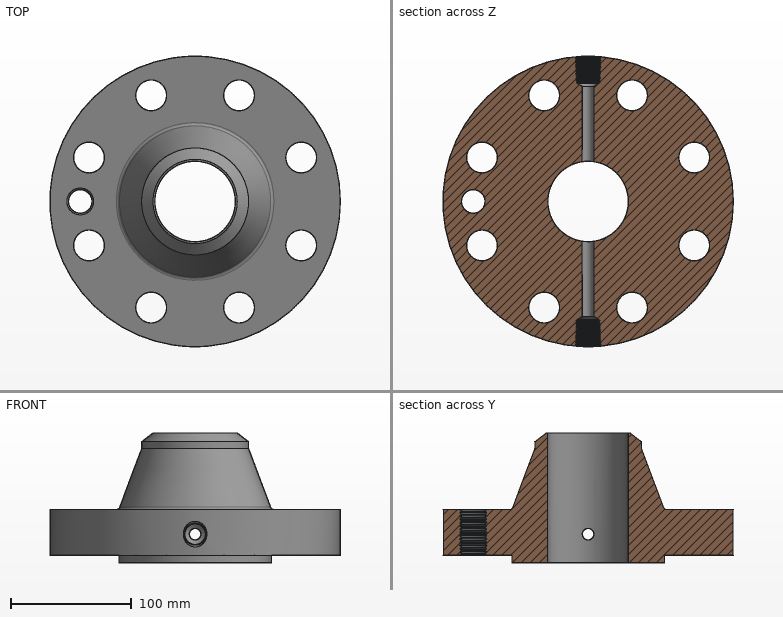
import cadquery as cq
import math


flange_radius = 120.6
flange_thickness = 38.1
raised_face_radius = 63.5
raised_face_height = 6.3
total_height = 107.9
flange_top = raised_face_height + flange_thickness

hub_base_radius = 63.5
hub_fillet_radius = 3.0
weld_end_radius = 44.5
weld_end_length = 12.8
weld_land_radius = 35.0
weld_bevel_angle = 37.5
weld_bevel_height = (weld_end_radius - weld_land_radius) * math.tan(math.radians(weld_bevel_angle))
bore_diameter = 66.5

bolt_count = 8
bolt_hole_diameter = 25.3
bolt_circle_radius = 95.3

jack_mouth_radius = 11.0
jack_thread_depth = 1.5
jack_thread_count = 14
jack_thread_pitch = flange_thickness / jack_thread_count

tap_height = 24.0
tap_mouth_radius = 10.5
tap_thread_depth = 1.5
tap_thread_count = 13
tap_thread_pitch = 1.8
tap_taper = 1 / 32
tap_drill_point_angle = 118.0
tap_drill_diameter = 9.5

crest_share = 0.2


def flange_body():
    """Disc, raised face and hub turned as one profile, with the hub root blended and the bore cut."""
    profile = [
        (0, 0),
        (raised_face_radius, 0),
        (raised_face_radius, raised_face_height),
        (flange_radius, raised_face_height),
        (flange_radius, flange_top),
        (hub_base_radius, flange_top),
        (weld_end_radius, total_height - weld_end_length),
        (weld_end_radius, total_height - weld_bevel_height),
        (weld_land_radius, total_height),
        (0, total_height),
    ]
    body = cq.Workplane("XZ").polyline(profile).close().revolve(360, (0, 0), (0, 1))
    hub_root = body.faces("+Z").faces("<Z").edges(cq.selectors.RadiusNthSelector(0))
    return hub_root.fillet(hub_fillet_radius).faces("<Z").workplane().hole(bore_diameter)


def thread_outline(mouth_radius, depth, pitch, count, taper=0.0):
    """Half outline of a threaded hole as (radius, depth) points: one V groove per pitch."""
    crest = crest_share * pitch
    flank = (pitch - crest) / 2
    points = [(0, 0)]
    for turn in range(count):
        start = turn * pitch
        root_radius = mouth_radius - taper * start
        crest_radius = root_radius - depth
        points += [
            (root_radius, start),
            (crest_radius, start + flank),
            (crest_radius, start + flank + crest),
        ]
    return points


def turned_cutter(plane, half_outline):
    """Solid of revolution about the plane's local Y axis."""
    return cq.Workplane(plane).polyline(half_outline).close().revolve(360, (0, 0), (0, 1))


def bolt_holes():
    positions = cq.Workplane("XY").polarArray(bolt_circle_radius, 180 / bolt_count, 360, bolt_count)
    return positions.circle(bolt_hole_diameter / 2).extrude(total_height)


def jack_hole():
    outline = thread_outline(jack_mouth_radius, jack_thread_depth, jack_thread_pitch, jack_thread_count)
    outline += [(jack_mouth_radius, flange_thickness), (0, flange_thickness)]
    downward = cq.Plane(origin=(-bolt_circle_radius, 0, flange_top), xDir=(1, 0, 0), normal=(0, 1, 0))
    return turned_cutter(downward, outline)


def pressure_tap(side):
    """Tap on the rim at Y = side * flange_radius, running inward to the axis."""
    outline = thread_outline(
        tap_mouth_radius, tap_thread_depth, tap_thread_pitch, tap_thread_count, tap_taper
    )
    thread_end_radius, thread_end = outline[-1]
    drill_radius = tap_drill_diameter / 2
    point_slope = math.tan(math.radians(tap_drill_point_angle / 2))
    cone_end = thread_end + (thread_end_radius - drill_radius) / point_slope
    outline += [(drill_radius, cone_end), (drill_radius, flange_radius), (0, flange_radius)]
    inward = cq.Plane(
        origin=(0, side * flange_radius, tap_height), xDir=(1, 0, 0), normal=(0, 0, -side)
    )
    return turned_cutter(inward, outline)


result = flange_body().cut(bolt_holes()).cut(jack_hole())
for side in (-1, 1):
    result = result.cut(pressure_tap(side))